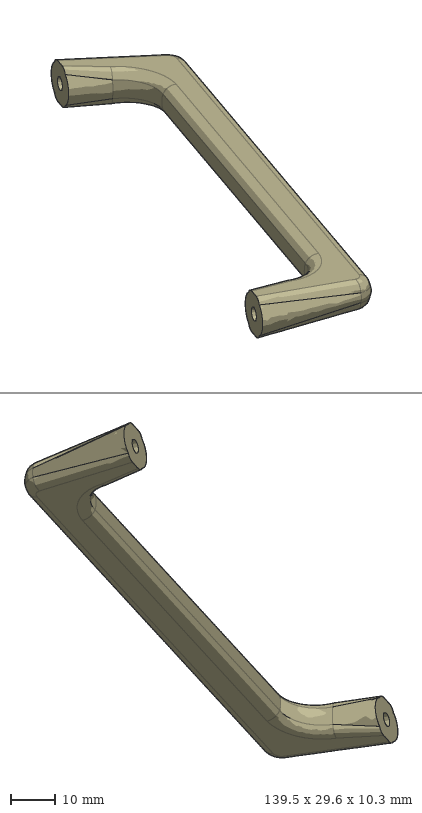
import cadquery as cq
import math

length = 139.5
reach = 29.6
foot_thickness = 10.3
crest_thickness = 7.0

foot_width = 11.6
grip_inner_y = 18.4
outer_draft = 11.1
inner_draft = 8.7
outer_bend_radius = 4.7
inner_bend_radius = 9.8

foot_rounding = (4.3, 2.2, 3.9)
outer_bend_rounding = (2.7, 0.3, 1.3)
inner_leg_rounding = (2.9, 0.4, 2.4)
inner_grip_rounding = (3.5, 0.3, 2.0)

hole_diameter = 3.2
hole_depth = 9.8
drill_point_angle = 118.0

rim_overlap = 1.1
core_inset = 0.4
bend_steps = 4


def half_thickness(y):
    """Half thickness of the handle, tapering from the feet to the grip."""
    return (foot_thickness - (foot_thickness - crest_thickness) * y / reach) / 2


def rim_section(x, y, direction, rounding):
    """Closed rounded section starting on the outline and running inward along direction."""
    depth, bulge, side_half_height = rounding

    def point(inward, z):
        return cq.Vector(x + inward * direction[0], y + inward * direction[1], z)

    def flat_point(inward, sign):
        return point(inward, sign * half_thickness(y + inward * direction[1]))

    back = depth + rim_overlap
    top_edge, top_back = flat_point(depth, 1), flat_point(back, 1)
    low_edge, low_back = flat_point(depth, -1), flat_point(back, -1)
    side_top, side_low = point(bulge, side_half_height), point(bulge, -side_half_height)
    return cq.Wire.assembleEdges([
        cq.Edge.makeThreePointArc(side_low, point(0, 0), side_top),
        cq.Edge.makeTangentArc(top_edge, top_edge - top_back, side_top),
        cq.Edge.makeLine(top_edge, top_back),
        cq.Edge.makeLine(top_back, low_back),
        cq.Edge.makeLine(low_back, low_edge),
        cq.Edge.makeTangentArc(low_edge, low_edge - low_back, side_low),
    ])


def blend(start, end, fraction):
    return tuple(a + (b - a) * fraction for a, b in zip(start, end))


def bend_center(foot_x, top_y, draft, radius):
    """Center of the bend tangent to a leaning leg side and a straight grip side."""
    corner_x = foot_x + top_y * math.tan(math.radians(draft))
    setback = radius * math.tan(math.radians(90 - draft) / 2)
    return corner_x + setback, top_y - radius


def bend_points(center, radius, draft):
    """Start, middle and end of a bend, from the leg to the grip."""
    angles = [math.radians(a) for a in (draft, (draft + 90) / 2, 90)]
    return [(center[0] - radius * math.cos(a), center[1] + radius * math.sin(a)) for a in angles]


def rim(foot_x, top_y, draft, radius, inward, leg_rounding, grip_rounding):
    """Rounded rim of one half: leg, bend and grip. Inward is +1 outside, -1 inside."""
    center_x, center_y = bend_center(foot_x, top_y, draft, radius)
    bend = []
    for step in range(bend_steps + 1):
        fraction = step / bend_steps
        angle = math.radians(draft + (90 - draft) * fraction)
        normal = (math.cos(angle), -math.sin(angle))
        bend.append(rim_section(
            center_x - radius * normal[0],
            center_y - radius * normal[1],
            (inward * normal[0], inward * normal[1]),
            blend(leg_rounding, grip_rounding, fraction),
        ))
    foot = rim_section(foot_x, 0, (inward, 0), foot_rounding)
    middle = rim_section(0, top_y, (0, -inward), grip_rounding)
    return [
        cq.Solid.makeLoft([foot, bend[0]], True),
        cq.Solid.makeLoft(bend),
        cq.Solid.makeLoft([bend[-1], middle], True),
    ]


foot_outer_x = -length / 2
foot_inner_x = foot_outer_x + foot_width
outer_rim = rim(foot_outer_x, reach, outer_draft, outer_bend_radius, 1,
                outer_bend_rounding, outer_bend_rounding)
inner_rim = rim(foot_inner_x, grip_inner_y, inner_draft, inner_bend_radius, -1,
                inner_leg_rounding, inner_grip_rounding)


def wedge_core():
    """Tapered plate lying inside the flat region, joining the two rims of one half."""
    profile = [(0, half_thickness(0)), (reach, half_thickness(reach)),
               (reach, -half_thickness(reach)), (0, -half_thickness(0))]
    wedge = cq.Workplane("YZ").polyline(profile).close().extrude(foot_outer_x)
    outer_center = bend_center(foot_outer_x, reach, outer_draft, outer_bend_radius)
    outer_radius = outer_bend_radius - outer_bend_rounding[0] - core_inset
    outer_start, outer_middle, outer_end = bend_points(outer_center, outer_radius, outer_draft)
    inner_center = bend_center(foot_inner_x, grip_inner_y, inner_draft, inner_bend_radius)
    inner_radius = inner_bend_radius + inner_grip_rounding[0] + core_inset
    inner_start, inner_middle, inner_end = bend_points(inner_center, inner_radius, inner_draft)
    foot_inset = foot_rounding[0] + core_inset
    plate = (
        cq.Workplane("XY")
        .moveTo(foot_outer_x + foot_inset, 0)
        .lineTo(*outer_start)
        .threePointArc(outer_middle, outer_end)
        .lineTo(0, outer_end[1])
        .lineTo(0, inner_end[1])
        .lineTo(*inner_end)
        .threePointArc(inner_middle, inner_start)
        .lineTo(foot_inner_x - foot_inset, 0)
        .close()
        .extrude(foot_thickness, both=True)
    )
    return wedge.intersect(plate)


def screw_hole(x):
    """Blind hole with a drill point, running along Y from the foot."""
    radius = hole_diameter / 2
    point_depth = radius / math.tan(math.radians(drill_point_angle / 2))
    profile = [(0, 0), (radius, 0), (radius, hole_depth), (0, hole_depth + point_depth)]
    hole = cq.Workplane("XY").polyline(profile).close().revolve(360, (0, 0), (0, 1))
    return hole.translate((x, 0, 0))


half = wedge_core()
for piece in outer_rim + inner_rim:
    half = half.union(cq.Workplane(obj=piece))
result = half.union(half.mirror("YZ")).clean()
foot_center_x = (foot_outer_x + foot_inner_x) / 2
for hole_x in (foot_center_x, -foot_center_x):
    result = result.cut(screw_hole(hole_x))